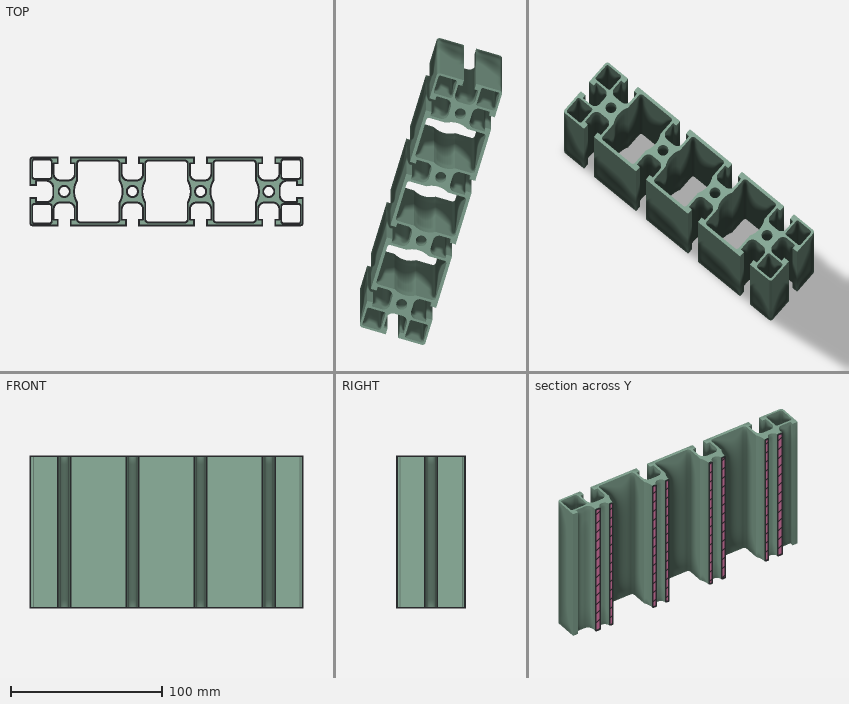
import cadquery as cq

cell = 45.0
cell_count = 4
height = 100.0
outer_width = cell * cell_count
corner_radius = 2.0

slot_mouth = 8.5
lip_thickness = 4.0
slot_width = 13.9
slot_depth = 15.1
slot_bottom_radius = 4.1

bore_diameter = 7.2

corner_wall = 1.5
corner_hollow_radius = 1.3

face_wall = 2.2
side_wall = 1.6
hollow_radius = 1.8
bulge_depth = 2.0
bulge_span = 14.8

cell_centers = [(i - (cell_count - 1) / 2) * cell for i in range(cell_count)]
hollow_centers = [(i - (cell_count - 2) / 2) * cell for i in range(cell_count - 1)]


def slot(x, angle):
    """T-slot cutter for the cell centred at x; angle 0 opens to +Y and turns counterclockwise."""
    face = cell / 2
    bottom = face - slot_depth
    lip = face - lip_thickness
    chamber = (
        cq.Workplane("XY")
        .center(0, (bottom + lip) / 2)
        .rect(slot_width, lip - bottom)
        .extrude(height)
        .edges("|Z and <Y")
        .fillet(slot_bottom_radius)
    )
    mouth = (
        cq.Workplane("XY")
        .center(0, (lip + face) / 2)
        .rect(slot_mouth, lip_thickness)
        .extrude(height)
    )
    return chamber.union(mouth).rotate((0, 0, 0), (0, 0, 1), angle).translate((x, 0, 0))


def corner_hollows():
    """Rounded square hollows beside the end slots."""
    near = slot_width / 2 + corner_wall
    far = cell / 2 - corner_wall
    size = far - near
    x = outer_width / 2 - corner_wall - size / 2
    y = (near + far) / 2
    return (
        cq.Workplane("XY")
        .pushPoints([(sx * x, sy * y) for sx in (-1, 1) for sy in (-1, 1)])
        .rect(size, size)
        .extrude(height)
        .edges("|Z")
        .fillet(corner_hollow_radius)
    )


def large_hollow(x):
    """Rounded rectangular hollow whose two sides bulge towards the screw channels."""
    half_width = (cell - slot_width) / 2 - side_wall
    half_span = bulge_span / 2
    box = (
        cq.Workplane("XY")
        .rect(2 * half_width, cell - 2 * face_wall)
        .extrude(height)
        .edges("|Z")
        .fillet(hollow_radius)
    )
    bulges = (
        cq.Workplane("XY")
        .moveTo(-half_width, -half_span)
        .lineTo(half_width, -half_span)
        .threePointArc((half_width + bulge_depth, 0), (half_width, half_span))
        .lineTo(-half_width, half_span)
        .threePointArc((-half_width - bulge_depth, 0), (-half_width, -half_span))
        .close()
        .extrude(height)
    )
    return box.union(bulges).translate((x, 0, 0))


result = cq.Workplane("XY").rect(outer_width, cell).extrude(height).edges("|Z").fillet(corner_radius)

for center in cell_centers:
    result = result.cut(slot(center, 0)).cut(slot(center, 180))
result = result.cut(slot(cell_centers[0], 90)).cut(slot(cell_centers[-1], -90))

result = result.cut(corner_hollows())
for center in hollow_centers:
    result = result.cut(large_hollow(center))

bores = (
    cq.Workplane("XY")
    .pushPoints([(center, 0) for center in cell_centers])
    .circle(bore_diameter / 2)
    .extrude(height)
)
result = result.cut(bores)